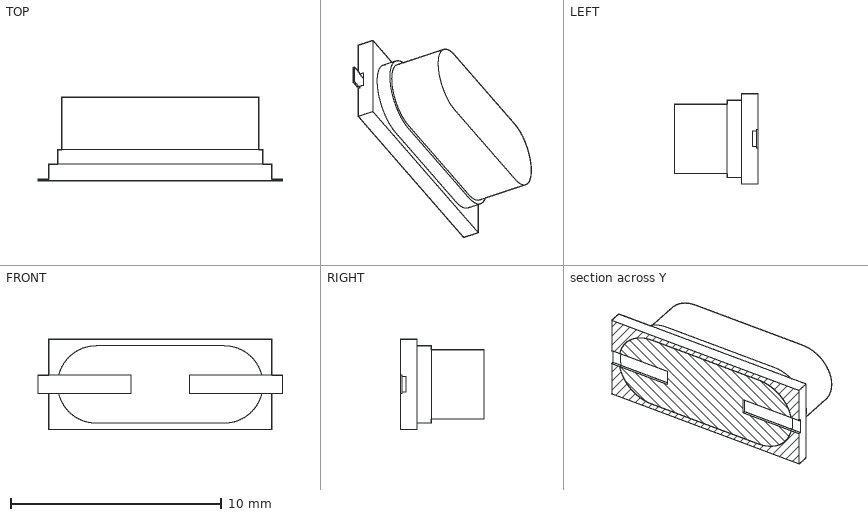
import cadquery as cq

overall_length = 11.65
overall_depth = 3.98

base_length = 10.62
base_height = 4.3
base_thickness = 0.79

arc_center_spacing = 6.08
can_radius = 1.65
flange_radius = 1.84
flange_projection = 0.69
flange_depth = base_thickness + flange_projection

lead_length = 4.43
lead_width = 0.89
lead_thickness = 0.08

slot_length = 3.16
slot_width = 0.73
slot_depth = 0.28

SIDES = (-1, 1)


def block(length, depth, height, center_x=0):
    """Box centered on z = 0 that rises from the mounting face toward +Y."""
    return cq.Workplane("XY").box(length, depth, height, centered=(True, False, True)).translate((center_x, 0, 0))


def stadium(radius, depth):
    """Prism with semicircular ends that rises from the mounting face toward +Y."""
    outline = cq.Workplane("XZ").slot2D(arc_center_spacing + 2 * radius, 2 * radius)
    return outline.extrude(-depth)


def make_lead(side):
    center_x = side * (overall_length - lead_length) / 2
    return block(lead_length, lead_thickness, lead_width, center_x)


def make_slot(side):
    center_x = side * (base_length - slot_length) / 2
    return block(slot_length, slot_depth, slot_width, center_x)


def cut_lead_seats(body):
    """Remove the shallow lead recess and the deeper relief slot at each end."""
    for side in SIDES:
        body = body.cut(make_lead(side)).cut(make_slot(side))
    return body


def make_base():
    plate = block(base_length, base_thickness, base_height)
    can_opening = stadium(flange_radius, base_thickness)
    return cut_lead_seats(plate.cut(can_opening))


def make_can():
    flange = stadium(flange_radius, flange_depth)
    cover = stadium(can_radius, overall_depth)
    return cut_lead_seats(flange.union(cover))


base = make_base()
can = make_can()
leads = [make_lead(side) for side in SIDES]

result = cq.Compound.makeCompound([base.solids().val(), can.solids().val(), *[lead.val() for lead in leads]])